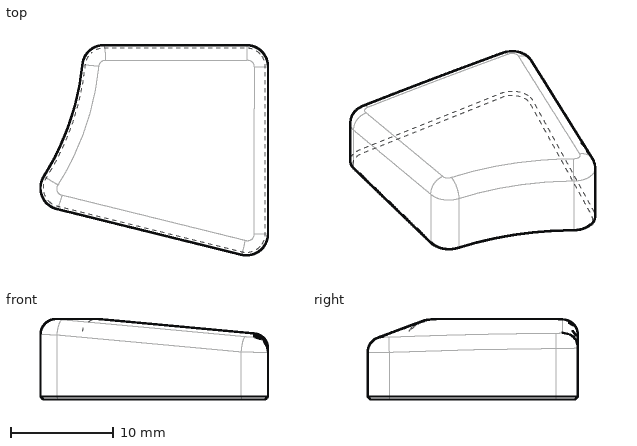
import cadquery as cq
import math

LENGTH = 22.25
WIDTH = 20.57
HEIGHT = 7.88

CORNER_RADIUS = 2.125
LEFT_CORNER_Y = 6.6
BACK_CORNER_X = 6.2
CONCAVE_RADIUS = 24.93

TOP_FILLET = 1.5
BOTTOM_CHAMFER = 0.3
TOP_SLOPE = math.radians(5.3)

LEFT = (CORNER_RADIUS, LEFT_CORNER_Y)
FRONT_RIGHT = (LENGTH - CORNER_RADIUS, CORNER_RADIUS)
BACK_RIGHT = (LENGTH - CORNER_RADIUS, WIDTH - CORNER_RADIUS)
BACK_LEFT = (BACK_CORNER_X, WIDTH - CORNER_RADIUS)


def polar(center, radius, angle):
    return (center[0] + radius * math.cos(angle), center[1] + radius * math.sin(angle))


def direction(start, end):
    return math.atan2(end[1] - start[1], end[0] - start[0])


def concave_center():
    """Centre, on the -X side, of the arc touching both left-hand corner rounds."""
    half_chord = math.dist(LEFT, BACK_LEFT) / 2
    middle = ((LEFT[0] + BACK_LEFT[0]) / 2, (LEFT[1] + BACK_LEFT[1]) / 2)
    reach = math.sqrt((CONCAVE_RADIUS + CORNER_RADIUS) ** 2 - half_chord**2)
    return polar(middle, reach, direction(LEFT, BACK_LEFT) + math.pi / 2)


AXIS = concave_center()


def make_block(height):
    """Vertical-walled block with tangent corner rounds."""
    to_left = direction(AXIS, LEFT)
    to_back = direction(AXIS, BACK_LEFT)
    front_normal = direction(LEFT, FRONT_RIGHT) - math.pi / 2
    left_start = to_left - math.pi
    back_end = to_back + math.pi

    def corner(sketch, center, start, end):
        middle = polar(center, CORNER_RADIUS, (start + end) / 2)
        return sketch.threePointArc(middle, polar(center, CORNER_RADIUS, end))

    outline = cq.Workplane("XY").moveTo(*polar(LEFT, CORNER_RADIUS, left_start))
    outline = corner(outline, LEFT, left_start, front_normal)
    outline = outline.lineTo(*polar(FRONT_RIGHT, CORNER_RADIUS, front_normal))
    outline = corner(outline, FRONT_RIGHT, front_normal, 0)
    outline = outline.lineTo(*polar(BACK_RIGHT, CORNER_RADIUS, 0))
    outline = corner(outline, BACK_RIGHT, 0, math.pi / 2)
    outline = outline.lineTo(*polar(BACK_LEFT, CORNER_RADIUS, math.pi / 2))
    outline = corner(outline, BACK_LEFT, math.pi / 2, back_end)
    outline = outline.threePointArc(
        polar(AXIS, CONCAVE_RADIUS, (to_left + to_back) / 2),
        polar(LEFT, CORNER_RADIUS, left_start),
    )
    return outline.close().extrude(height)


def make_cone_envelope():
    """Solid of revolution about the concave arc's axis, bounded above by the cone."""
    outer_radius = 2.5 * LENGTH
    fillet_crest_gap = TOP_FILLET * (math.tan(TOP_SLOPE) + 1 / math.cos(TOP_SLOPE) - 1)
    edge_height = HEIGHT + fillet_crest_gap
    apex_height = edge_height + CONCAVE_RADIUS * math.tan(TOP_SLOPE)
    outer_height = apex_height - outer_radius * math.tan(TOP_SLOPE)
    profile = [(0, 0), (outer_radius, 0), (outer_radius, outer_height), (0, apex_height)]
    cone = cq.Workplane("XZ").polyline(profile).close().revolve(360, (0, 0), (0, 1))
    return cone.translate((AXIS[0], AXIS[1], 0))


body = make_block(2 * HEIGHT).intersect(make_cone_envelope())
body = body.faces("<Z").edges().chamfer(BOTTOM_CHAMFER)
result = body.faces("%CONE").faces(">Z").edges().fillet(TOP_FILLET)